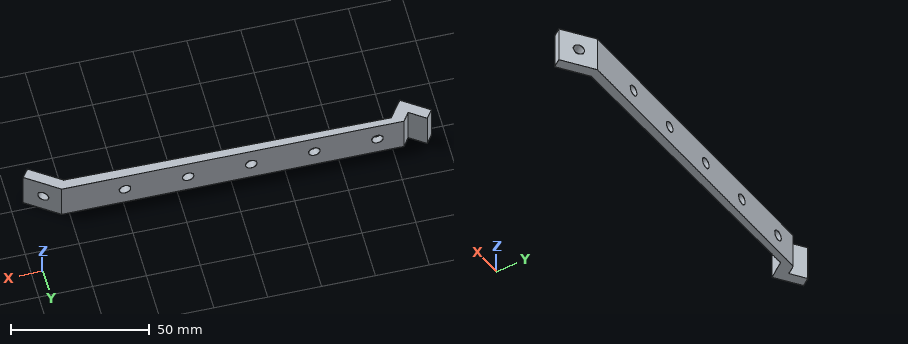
import cadquery as cq
import math

length = 150.2
depth = 12.8
height = 15.0

bend_angle = math.radians(35)
arm_thickness = 4.2
riser_thickness = 5.0
hook_length = 12.3

bar_back_y = 12.0
bar_front_left_x = 15.0
bar_front_right_x = 136.2

hole_diameter = 4.2
bar_hole_count = 5
bar_hole_pitch = 23.5
first_hole_x = 20.7
arm_hole_distance = 6.3

cos_bend = math.cos(bend_angle)
sin_bend = math.sin(bend_angle)


def offset(point, along, across):
    """Move a point along the arm direction and square to it, towards the back."""
    return (
        point[0] + along * cos_bend + across * sin_bend,
        point[1] - along * sin_bend + across * cos_bend,
    )


hook_tip_front = (0, depth - arm_thickness * cos_bend)
hook_tip_back = offset(hook_tip_front, 0, arm_thickness)
hook_elbow_front = offset(hook_tip_front, hook_length, 0)
hook_elbow_back = offset(hook_elbow_front, -riser_thickness, arm_thickness)
riser_back_x = hook_elbow_back[0] + (bar_back_y - hook_elbow_back[1]) * math.tan(bend_angle)
riser_front_length = (bar_front_left_x - hook_elbow_front[0]) / sin_bend
bar_front_left = offset(hook_elbow_front, 0, riser_front_length)

arm_tip_front = (length - arm_thickness * sin_bend, 0)
arm_tip_back = offset(arm_tip_front, 0, arm_thickness)
arm_front_length = (arm_tip_front[0] - bar_front_right_x) / cos_bend
bar_front_right = offset(arm_tip_front, -arm_front_length, 0)
arm_back_x = arm_tip_back[0] - (bar_back_y - arm_tip_back[1]) / math.tan(bend_angle)

strip = (
    cq.Workplane("XY")
    .polyline([
        hook_tip_front,
        hook_elbow_front,
        bar_front_left,
        bar_front_right,
        arm_tip_front,
        arm_tip_back,
        (arm_back_x, bar_back_y),
        (riser_back_x, bar_back_y),
        hook_elbow_back,
        hook_tip_back,
    ])
    .close()
    .extrude(height)
)


def drill(start, direction, reach):
    """Round cutter at mid height, starting at a point in the XY plane."""
    return cq.Workplane(cq.Solid.makeCylinder(
        hole_diameter / 2,
        reach,
        cq.Vector(start[0], start[1], height / 2),
        cq.Vector(direction[0], direction[1], 0),
    ))


result = strip

for index in range(bar_hole_count):
    hole_x = first_hole_x + index * bar_hole_pitch
    result = result.cut(drill((hole_x, 0), (0, 1), depth))

arm_hole_start = offset(bar_front_right, arm_hole_distance, -arm_thickness)
result = result.cut(drill(arm_hole_start, (sin_bend, cos_bend), 3 * arm_thickness))